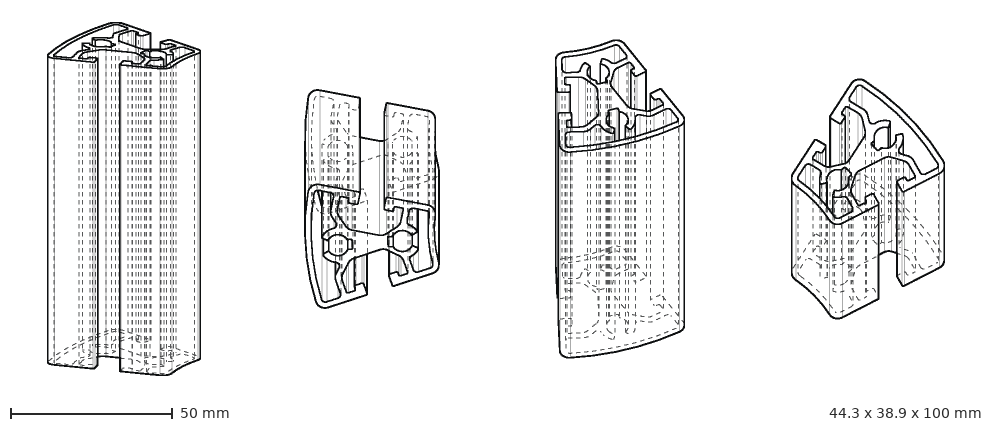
import cadquery as cq
import math

length = 100.0
sector_angle = 30.0
outer_radius = 80.0
inner_radius = 40.0
wall = 1.9
outer_corner_fillet = 3.0
cavity_fillet = 1.2

slot_radius = (outer_radius + inner_radius) / 2
slot_mouth_half = 4.1
slot_lip_half = 7.1
slot_half_width = 10.0
slot_lip_height = 4.1
slot_face_wall = 2.5
slot_depth = 12.5
slot_chamfer = 4.5
bend_fillet = 3.0
lip_fillet = 0.5

hull_half_width = slot_half_width + wall
hull_depth = slot_depth + wall
hull_chamfer = slot_chamfer + wall * (2 - math.sqrt(2))

channel_radii = (70.0, 50.0)
bore_radius = 3.4
boss_radius = 5.6
opening_half_angle = 29.0
notch_width = 3.2
notch_reach = 4.5
notch_fillet = 0.4
tip_fillet = 0.4

axis_angle = 180 - sector_angle / 2
axis_dir = cq.Vector(math.cos(math.radians(axis_angle)), math.sin(math.radians(axis_angle)), 0)


def polar(radius, angle):
    """Point at a radius and an angle in degrees about the apex."""
    return (radius * math.cos(math.radians(angle)), radius * math.sin(math.radians(angle)))


def mirrored(shape):
    """Copy of a shape on the other side of the sector's symmetry line."""
    flipped = shape.mirror("XZ")
    return flipped.rotate((0, 0, 0), (0, 0, 1), 2 * axis_angle)


def flip(point):
    """Mirror image of a point across the symmetry line."""
    radius = math.hypot(*point)
    return polar(radius, 2 * axis_angle - math.degrees(math.atan2(point[1], point[0])))


def extruded(points):
    """Full-length prism on a closed polygon."""
    return cq.Workplane("XY").polyline(points).close().extrude(length)


def on_axis(shape, radius):
    """Place a shape drawn at the origin on the symmetry line, its +X pointing away from the apex."""
    turned = shape.rotate((0, 0, 0), (0, 0, 1), axis_angle)
    return turned.translate(axis_dir * radius)


def sector(r_in, r_out, inset):
    """Ring sector with both straight faces moved inward by the inset."""
    def side_point(radius, upper):
        inset_angle = math.degrees(math.asin(inset / radius))
        return polar(radius, 180 - sector_angle + inset_angle if upper else 180 - inset_angle)

    return (
        cq.Workplane("XY")
        .moveTo(*side_point(r_in, False))
        .lineTo(*side_point(r_out, False))
        .threePointArc(polar(r_out, axis_angle), side_point(r_out, True))
        .lineTo(*side_point(r_in, True))
        .threePointArc(polar(r_in, axis_angle), side_point(r_in, False))
        .close()
        .extrude(length)
    )


def symmetric_about_slot(half):
    """Closed outline from half of it, given as (distance from slot centre, height)."""
    right = [(-slot_radius + x, y) for x, y in half]
    left = [(-slot_radius - x, y) for x, y in reversed(half)]
    return right + left


def edge_near(point):
    """Selects the lengthwise edge closest to a point of the cross-section."""
    return cq.selectors.NearestToPointSelector((*point, length / 2))


def band(low, high):
    """Selects what lies between two distances above the Y = 0 face."""
    return cq.selectors.BoxSelector((-outer_radius, low, 0), (-inner_radius, high, length))


def slot_cut():
    """Tool for one T-slot with rounded lips and bends."""
    chamber = extruded(symmetric_about_slot([
        (slot_mouth_half, slot_lip_height),
        (slot_lip_half, slot_lip_height),
        (slot_lip_half, slot_face_wall),
        (slot_half_width, slot_face_wall),
        (slot_half_width, slot_depth - slot_chamfer),
        (slot_half_width - slot_chamfer, slot_depth),
    ]))
    mouth = extruded(symmetric_about_slot([(slot_mouth_half, 0), (slot_mouth_half, slot_lip_height)]))
    slab_depth = 2.0
    slab = extruded(symmetric_about_slot([(slot_half_width, -slab_depth), (slot_half_width, 0)]))
    tool = chamber.union(mouth).union(slab)
    above_lip = slot_lip_height + lip_fillet
    lip_edges = band(-slab_depth, above_lip)
    bend_edges = band(above_lip, hull_depth)
    tool = tool.edges("|Z").edges(bend_edges).fillet(bend_fillet)
    return tool.edges("|Z").edges(lip_edges).fillet(lip_fillet)


def slot_hull():
    """Slot outline grown by the web thickness."""
    return extruded(symmetric_about_slot([
        (hull_half_width, 0),
        (hull_half_width, hull_depth - hull_chamfer),
        (hull_half_width - hull_chamfer, hull_depth),
    ]))


def core():
    """Solid block between the bottoms of the two slots, reaching the channel centres."""
    half_width = slot_half_width - slot_chamfer
    outer_end = (-slot_radius - half_width, slot_depth)
    inner_end = (-slot_radius + half_width, slot_depth)
    outer_channel, inner_channel = [polar(radius, axis_angle) for radius in channel_radii]
    return extruded([
        outer_end, inner_end, inner_channel, flip(inner_end), flip(outer_end), outer_channel
    ])


def boss(radius):
    """Round boss that carries the screw channel at a radius."""
    return on_axis(cq.Workplane("XY").circle(boss_radius).extrude(length), radius)


def channel_facing(radius):
    """Angle, relative to the outward direction, towards which a channel opens."""
    return 0 if radius > slot_radius else 180


def channel_cut(radius):
    """Tool for a screw channel: round bore, notch behind it and an opening to its cavity."""
    bore = cq.Workplane("XY").circle(bore_radius).extrude(length)
    notch = cq.Workplane("XY").rect(notch_reach, notch_width).extrude(length)
    notch = notch.translate((-notch_reach / 2, 0, 0)).edges("|Z and <X").fillet(notch_fillet)
    reach = boss_radius / math.cos(math.radians(opening_half_angle))
    opening = extruded([(0, 0), polar(reach, -opening_half_angle), polar(reach, opening_half_angle)])
    tool = bore.union(notch).union(opening)
    tool = tool.rotate((0, 0, 0), (0, 0, 1), channel_facing(radius))
    return on_axis(tool, radius)


def round_tips(body, radius):
    """Round the outer corners of the two arms that embrace a channel."""
    center = axis_dir * radius
    for side in (-1, 1):
        angle = axis_angle + channel_facing(radius) + side * opening_half_angle
        tip = center + cq.Vector(*polar(boss_radius, angle))
        body = body.edges(edge_near((tip.x, tip.y))).fillet(tip_fillet)
    return body


spine = slot_hull().union(mirrored(slot_hull())).union(core())
for channel_radius in channel_radii:
    spine = spine.union(boss(channel_radius))

cavities = sector(inner_radius + wall, outer_radius - wall, wall).cut(spine)
hull_bend = (-slot_radius - hull_half_width, hull_depth - hull_chamfer)
bend_edges = edge_near(hull_bend) + edge_near(flip(hull_bend))
sharp_edges = cq.selectors.ParallelDirSelector(cq.Vector(0, 0, 1)) - bend_edges
cavities = cavities.edges(sharp_edges).fillet(cavity_fillet)
cavities = cavities.edges(bend_edges).fillet(bend_fillet)

result = sector(inner_radius, outer_radius, 0).edges("|Z").fillet(outer_corner_fillet)
result = result.cut(cavities)
for channel_radius in channel_radii:
    result = result.cut(channel_cut(channel_radius))
    result = round_tips(result, channel_radius)
slot = slot_cut()
result = result.cut(slot).cut(mirrored(slot))